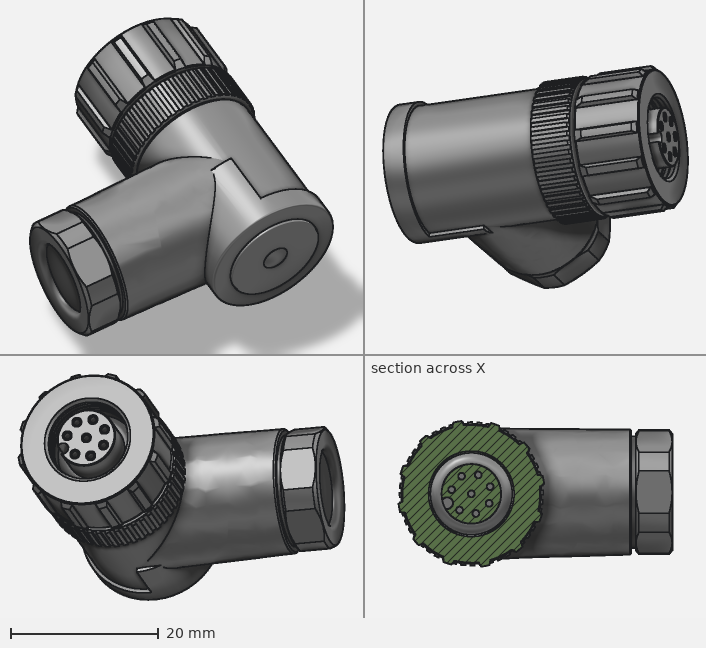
import cadquery as cq
import math


INSERT_RADIUS = 4.05
INSERT_CHAMFER = 0.1
INSERT_EMBED = 0.4
CONTACT_CIRCLE_RADIUS = 2.73
CONTACT_HOLE_DIAMETER = 0.9
CONTACT_RECESS_DIAMETER = 1.3
CONTACT_RECESS_DEPTH = 0.2
CONTACT_HOLE_DEPTH = 3.9
CONTACT_COUNT = 7
CONTACT_STEP = 49.0
KEY_ANGLE = -21.0
KEY_RADIUS = 0.78
KEY_CENTRE_RADIUS = 3.5
KEY_DEPTH = 3.9

SLEEVE_FRONT = 0.75
SLEEVE_END = 10.15
SLEEVE_RADIUS = 9.35
SLEEVE_CHAMFER = 0.15
BORE_RADIUS = 11.1 / 2
BORE_MOUTH_WIDENING = 0.45
BORE_MOUTH_DEPTH = 0.3
RECESS_FLOOR = 6.63
SEAL_HEIGHT = 1.35
SEAL_ROUNDING = 1.33
THREAD_PITCH = 1.0
THREAD_DEPTH = 0.4
THREAD_HALF_WIDTH = 0.35
THREAD_COUNT = 3
THREAD_START = 2.03

RIB_COUNT = 12
RIB_RADIUS = 9.98
RIB_TOP_WIDTH = 1.13
RIB_BASE_WIDTH = 1.65
RIB_SETBACK = 0.35
RIB_FRONT = SLEEVE_FRONT + RIB_SETBACK
RIB_FRONT_SLOPE = 0.55
RIB_REAR_SLOPE = 1.15
RIB_ROOT_RADIUS = 8.95
RIB_OFFSET = -11.0

NECK_RADIUS = 13.4 / 2
KNURL_START = 10.75
KNURL_END = 16.3
KNURL_RADIUS = 9.75
KNURL_ROOT_RADIUS = 9.5
KNURL_CHAMFER = 0.3
KNURL_COUNT = 48
KNURL_OFFSET = -1.0

LEG_AXIS_X = 26.97
BODY_RADIUS = 8.95
BODY_CHAMFER_LENGTH = 0.3
BODY_CHAMFER_DEPTH = 0.15
CAP_RADIUS = 9.5
CAP_END = LEG_AXIS_X + 11.0
CAP_BAND_START = LEG_AXIS_X + 7.9
CAP_SPLIT_Y = -0.25
CAP_ROUNDING = 0.4
PLATE_RADIUS = 6.82
PLATE_THICKNESS = 0.45
PLATE_END = CAP_END + PLATE_THICKNESS
PLATE_ROUNDING = 0.15
LENGTH = 38.98
DOME_RADIUS = 1.85

LEG_END_Y = -21.7
LEG_START_RADIUS = 8.93
LEG_END_RADIUS = 8.5
LEG_RISE = 0.25
LEG_CHAMFER = 0.25
LEG_NECK_RADIUS = 15.2 / 2
NUT_START_Y = -22.25
NUT_END_Y = -27.3
NUT_FLATS = 15.85
NUT_CORNER_RADIUS = 16.88 / 2
NUT_FACE_RADIUS = 15.7 / 2
NUT_CHAMFER = 0.45
CABLE_HOLE_RADIUS = 10.05 / 2
CABLE_HOLE_DEPTH = 0.97
CABLE_HOLE_ROUNDING = 0.95


def along_x(start, end, radius):
    """Cylinder on the plug axis between two X positions."""
    return cq.Workplane("YZ", origin=(start, 0, 0)).circle(radius).extrude(end - start)


def along_leg(start_y, end_y, radius):
    """Cylinder on the raised leg axis, running toward -Y."""
    plane = cq.Workplane("XZ", origin=(LEG_AXIS_X, start_y, LEG_RISE))
    return plane.circle(radius).extrude(start_y - end_y)


def revolve_x(points):
    """Solid turned about the plug axis from (x, radius) points."""
    return cq.Workplane("XY").polyline(points).close().revolve(360, (0, 0, 0), (1, 0, 0))


def polar(radius, angle):
    """(y, z) of a point at an angle in degrees from +Y toward +Z."""
    return radius * math.cos(math.radians(angle)), radius * math.sin(math.radians(angle))


def make_insert():
    insert = along_x(0, RECESS_FLOOR + INSERT_EMBED, INSERT_RADIUS).faces("<X").chamfer(INSERT_CHAMFER)
    first_angle = KEY_ANGLE + 180 - CONTACT_STEP * (CONTACT_COUNT - 1) / 2
    ring = [polar(CONTACT_CIRCLE_RADIUS, first_angle + i * CONTACT_STEP) for i in range(CONTACT_COUNT)]
    contacts = [(0, 0)] + ring
    face = cq.Workplane("YZ")
    holes = face.pushPoints(contacts).circle(CONTACT_HOLE_DIAMETER / 2).extrude(CONTACT_HOLE_DEPTH)
    recesses = face.pushPoints(contacts).circle(CONTACT_RECESS_DIAMETER / 2).extrude(CONTACT_RECESS_DEPTH)
    key_centre = polar(KEY_CENTRE_RADIUS, KEY_ANGLE)
    keyway = face.center(*key_centre).circle(KEY_RADIUS).extrude(KEY_DEPTH)
    return insert.cut(holes).cut(recesses).cut(keyway)


def make_ribs():
    half_base = RIB_BASE_WIDTH / 2
    half_top = RIB_TOP_WIDTH / 2
    rib = (
        cq.Workplane("YZ", origin=(RIB_FRONT, 0, 0))
        .moveTo(0, -half_base)
        .lineTo(SLEEVE_RADIUS, -half_base)
        .lineTo(RIB_RADIUS, -half_top)
        .lineTo(RIB_RADIUS, half_top)
        .lineTo(SLEEVE_RADIUS, half_base)
        .lineTo(0, half_base)
        .close()
        .extrude(SLEEVE_END - RIB_FRONT)
    )
    envelope = revolve_x([
        (RIB_FRONT, RIB_ROOT_RADIUS),
        (RIB_FRONT, SLEEVE_RADIUS),
        (RIB_FRONT + RIB_FRONT_SLOPE, RIB_RADIUS),
        (SLEEVE_END - RIB_REAR_SLOPE, RIB_RADIUS),
        (SLEEVE_END, SLEEVE_RADIUS),
        (SLEEVE_END, RIB_ROOT_RADIUS),
    ])
    rib = rib.intersect(envelope)
    angles = [RIB_OFFSET + i * 360 / RIB_COUNT for i in range(RIB_COUNT)]
    return [rib.rotate((0, 0, 0), (1, 0, 0), angle) for angle in angles]


def make_sleeve():
    sleeve = along_x(SLEEVE_FRONT, SLEEVE_END, SLEEVE_RADIUS).faces("<X or >X").chamfer(SLEEVE_CHAMFER)
    for rib in make_ribs():
        sleeve = sleeve.union(rib)
    bore = along_x(SLEEVE_FRONT, RECESS_FLOOR, BORE_RADIUS)
    mouth = revolve_x([
        (SLEEVE_FRONT, 0),
        (SLEEVE_FRONT, BORE_RADIUS + BORE_MOUTH_WIDENING),
        (SLEEVE_FRONT + BORE_MOUTH_DEPTH, BORE_RADIUS),
        (SLEEVE_FRONT + BORE_MOUTH_DEPTH, 0),
    ])
    sleeve = sleeve.cut(bore).cut(mouth)
    for i in range(THREAD_COUNT):
        middle = THREAD_START + i * THREAD_PITCH
        groove = revolve_x([
            (middle - THREAD_HALF_WIDTH, BORE_RADIUS),
            (middle, BORE_RADIUS + THREAD_DEPTH),
            (middle + THREAD_HALF_WIDTH, BORE_RADIUS),
        ])
        sleeve = sleeve.cut(groove)
    seal = along_x(RECESS_FLOOR - SEAL_HEIGHT, RECESS_FLOOR, BORE_RADIUS)
    seal = seal.faces("<X").edges().fillet(SEAL_ROUNDING)
    return sleeve.union(seal)


def make_knurled_ring():
    """Ring with radial-walled teeth; crests and grooves are equally wide."""
    pitch = 360 / KNURL_COUNT
    quarter = pitch / 4
    outline = []
    for i in range(KNURL_COUNT):
        crest = KNURL_OFFSET + i * pitch
        root = crest + pitch / 2
        outline.append(polar(KNURL_RADIUS, crest - quarter))
        outline.append(polar(KNURL_RADIUS, crest + quarter))
        outline.append(polar(KNURL_ROOT_RADIUS, root - quarter))
        outline.append(polar(KNURL_ROOT_RADIUS, root + quarter))
    plane = cq.Workplane("YZ", origin=(KNURL_START, 0, 0))
    ring = plane.polyline(outline).close().extrude(KNURL_END - KNURL_START)
    blank = along_x(KNURL_START, KNURL_END, KNURL_RADIUS).faces("<X").chamfer(KNURL_CHAMFER)
    return ring.intersect(blank)


def make_body():
    """Straight barrel, slightly tapered where it meets the knurled ring."""
    end = CAP_END - CAP_ROUNDING
    return revolve_x([
        (KNURL_END, 0),
        (KNURL_END, BODY_RADIUS - BODY_CHAMFER_DEPTH),
        (KNURL_END + BODY_CHAMFER_LENGTH, BODY_RADIUS),
        (end, BODY_RADIUS),
        (end, 0),
    ])


def make_cap():
    """Larger end cap: a band all round, and a half shell on the leg side."""
    cap = along_x(LEG_AXIS_X, CAP_END, CAP_RADIUS).faces(">X").edges().fillet(CAP_ROUNDING)
    far_half = cq.Workplane("XY").box(
        CAP_BAND_START - LEG_AXIS_X, CAP_RADIUS - CAP_SPLIT_Y, 2 * CAP_RADIUS, centered=(False, False, True)
    )
    cap = cap.cut(far_half.translate((LEG_AXIS_X, CAP_SPLIT_Y, 0)))
    plate = along_x(CAP_END, PLATE_END, PLATE_RADIUS).faces(">X").edges().fillet(PLATE_ROUNDING)
    dome_height = LENGTH - PLATE_END
    sphere_radius = (DOME_RADIUS**2 + dome_height**2) / (2 * dome_height)
    dome = (
        cq.Workplane("XY")
        .moveTo(PLATE_END, 0)
        .lineTo(PLATE_END, DOME_RADIUS)
        .radiusArc((LENGTH, 0), sphere_radius)
        .close()
        .revolve(360, (0, 0, 0), (1, 0, 0))
    )
    return cap.union(plate).union(dome)


def make_leg():
    leg = (
        cq.Workplane("XZ", origin=(LEG_AXIS_X, 0, 0))
        .circle(LEG_START_RADIUS)
        .workplane(offset=-LEG_END_Y)
        .center(0, LEG_RISE)
        .circle(LEG_END_RADIUS)
        .loft()
    )
    leg = leg.faces("<Y").edges().chamfer(LEG_CHAMFER)
    return leg.union(along_leg(LEG_END_Y, NUT_START_Y, LEG_NECK_RADIUS))


def make_nut():
    """Hexagon with rounded corners; two flats face +X and -X."""
    height = NUT_START_Y - NUT_END_Y
    across_corners = NUT_FLATS / math.cos(math.pi / 6)
    plane = cq.Workplane("XZ", origin=(LEG_AXIS_X, NUT_START_Y, LEG_RISE))
    hexagon = plane.transformed(rotate=(0, 0, 30)).polygon(6, across_corners).extrude(height)
    blank = along_leg(NUT_START_Y, NUT_END_Y, NUT_CORNER_RADIUS)
    blank = blank.faces("<Y or >Y").edges().chamfer(NUT_CHAMFER, NUT_CORNER_RADIUS - NUT_FACE_RADIUS)
    nut = hexagon.intersect(blank)
    nut = nut.cut(along_leg(NUT_END_Y + CABLE_HOLE_DEPTH, NUT_END_Y, CABLE_HOLE_RADIUS))
    rim = cq.selectors.RadiusNthSelector(0)
    return nut.faces("<Y").edges(rim).fillet(CABLE_HOLE_ROUNDING)


sleeve_neck = along_x(RECESS_FLOOR, KNURL_START, NECK_RADIUS)

result = (
    make_body()
    .union(make_cap())
    .union(make_leg())
    .union(make_nut())
    .union(make_knurled_ring())
    .union(sleeve_neck)
    .union(make_sleeve())
    .union(make_insert())
)